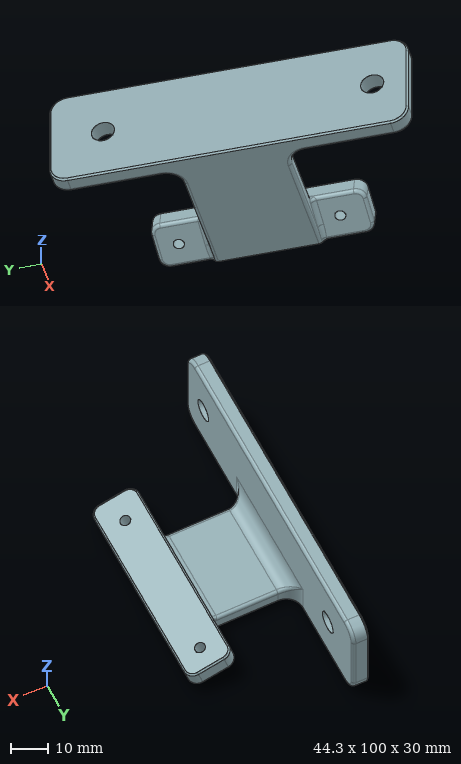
import cadquery as cq
import math

plate_length = 100.0
plate_height = 30.0
plate_thickness = 5.0
plate_corner_radius = 5.0
plate_hole_diameter = 6.4
plate_hole_spacing = 75.0
plate_hole_offset = -2.5

arm_width = 30.0
arm_thickness = 5.0
arm_root_radius = 5.0

pad_width = 14.0
pad_length = 60.0
pad_thickness = 6.2
pad_tilt = 15.0
pad_corner_radius = 3.0
pad_hole_diameter = 3.0
pad_hole_spacing = 45.0
pad_hole_offset = 0.9
pad_reach = 44.3
pad_clearance = 1.1

rim_chamfer = 0.5
edge_radius = 1.0
joint_radius = 1.5

margin = 0.1

tilt_sine = math.sin(math.radians(pad_tilt))
tilt_tangent = math.tan(math.radians(pad_tilt))

pad_corner_x = pad_reach - (pad_thickness - rim_chamfer) * tilt_sine
arm_end_x = pad_corner_x - pad_clearance * tilt_tangent


def make_plate():
    return (
        cq.Workplane("YZ")
        .center(0, plate_height / 2)
        .rect(plate_length, plate_height)
        .extrude(plate_thickness)
        .edges("|X")
        .fillet(plate_corner_radius)
    )


def make_arm():
    """Bar whose sloping end continues the outer side of the pad."""
    top_end_x = arm_end_x + arm_thickness * tilt_tangent
    return (
        cq.Workplane("XZ")
        .moveTo(0, 0)
        .lineTo(arm_end_x, 0)
        .lineTo(top_end_x, arm_thickness)
        .lineTo(0, arm_thickness)
        .close()
        .extrude(arm_width / 2, both=True)
    )


def place_on_pad(shape):
    """Move a shape from the pad's own axes to its tilted position."""
    tilted = shape.rotate((0, 0, 0), (0, 1, 0), pad_tilt)
    return tilted.translate((pad_corner_x, 0, pad_clearance))


def make_pad():
    """Block with rounded corners, chamfered on top and rounded below, then tilted into place."""
    pad = (
        cq.Workplane("XY")
        .center(-pad_width / 2, 0)
        .rect(pad_width, pad_length)
        .extrude(pad_thickness)
        .edges("|Z")
        .fillet(pad_corner_radius)
    )
    pad = pad.faces(">Z").edges().chamfer(rim_chamfer)
    pad = pad.faces("<Z").edges().fillet(edge_radius)
    return place_on_pad(pad)


def make_pad_holes():
    drills = (
        cq.Workplane("XY")
        .center(-pad_width / 2, pad_hole_offset)
        .rarray(1, pad_hole_spacing, 1, 2)
        .circle(pad_hole_diameter / 2)
        .extrude(pad_thickness)
    )
    return place_on_pad(drills)


def make_plate_holes():
    return (
        cq.Workplane("YZ")
        .center(plate_hole_offset, plate_height / 2)
        .rarray(plate_hole_spacing, 1, 2, 1)
        .circle(plate_hole_diameter / 2)
        .extrude(plate_thickness)
    )


def make_body():
    """Plate and arm, blended by a flared root and rounded along their edges."""
    body = make_plate().union(make_arm())

    root_line = cq.selectors.BoxSelector(
        (plate_thickness - margin, -arm_width / 2 - margin, margin),
        (plate_thickness + margin, arm_width / 2 + margin, arm_thickness + margin),
    )
    body = body.edges(root_line).fillet(arm_root_radius)
    body = body.faces("<X").edges().chamfer(rim_chamfer)

    arm_long_edges = cq.selectors.BoxSelector(
        (plate_thickness + arm_root_radius, -arm_width / 2 - margin, -margin),
        (arm_end_x, arm_width / 2 + margin, arm_thickness + margin),
    )
    return body.edges("|X").edges(arm_long_edges).fillet(edge_radius)


def join_pad(body):
    """Add the pad and fill the corners where it meets the top and sides of the arm."""
    joint = cq.selectors.BoxSelector(
        (pad_corner_x - pad_width, -arm_width / 2 - margin, edge_radius + margin),
        (pad_corner_x - margin, arm_width / 2 + margin, arm_thickness + margin),
    )
    return body.union(make_pad()).edges(joint).fillet(joint_radius)


result = join_pad(make_body()).cut(make_plate_holes()).cut(make_pad_holes())